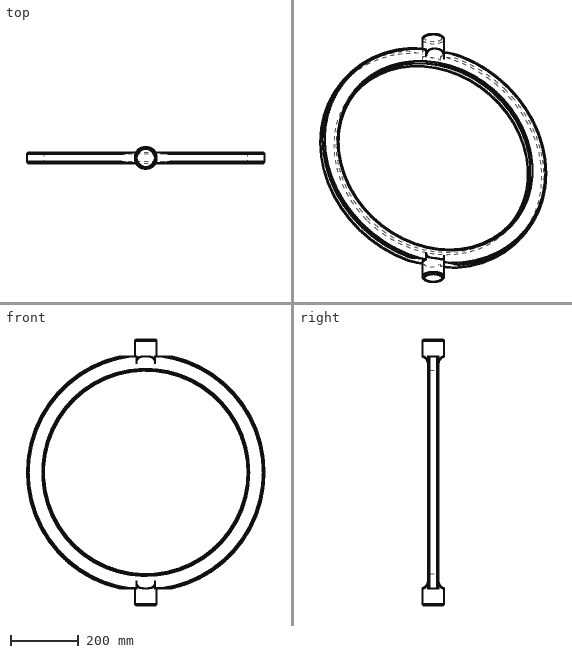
import cadquery as cq

ring_outer_radius = 350.0
ring_inner_radius = 300.0
ring_thickness = 32.0
ring_chamfer = 5.0

overall_height = 784.11
pin_radius = 32.0
pin_length = 50.0
pin_chamfer = 5.0
root_fillet_radius = 20.0

pin_tip_z = overall_height / 2
flat_z = pin_tip_z - pin_length
root_z = flat_z - root_fillet_radius


def make_ring():
    """Chamfered ring whose top and bottom are cut to flat pin seats."""
    ring = (
        cq.Workplane("XZ")
        .circle(ring_outer_radius)
        .circle(ring_inner_radius)
        .extrude(ring_thickness / 2, both=True)
        .faces("<Y or >Y")
        .chamfer(ring_chamfer)
    )
    between_flats = cq.Workplane("XY").box(2 * ring_outer_radius, ring_thickness, 2 * flat_z)
    return ring.intersect(between_flats)


def make_upper_pin():
    """Pin reaching into the ring, its overhang blending into the ring faces."""
    pin = (
        cq.Workplane("XY", origin=(0, 0, root_z))
        .circle(pin_radius)
        .extrude(pin_tip_z - root_z)
        .faces(">Z")
        .chamfer(pin_chamfer)
    )
    fillet_axis_y = ring_thickness / 2 + root_fillet_radius
    root_hollows = (
        cq.Workplane("YZ", origin=(0, 0, root_z))
        .pushPoints([(-fillet_axis_y, 0), (fillet_axis_y, 0)])
        .circle(root_fillet_radius)
        .extrude(pin_radius, both=True)
    )
    return pin.cut(root_hollows)


upper_pin = make_upper_pin()
lower_pin = upper_pin.mirror("XY")
result = make_ring().union(upper_pin).union(lower_pin)